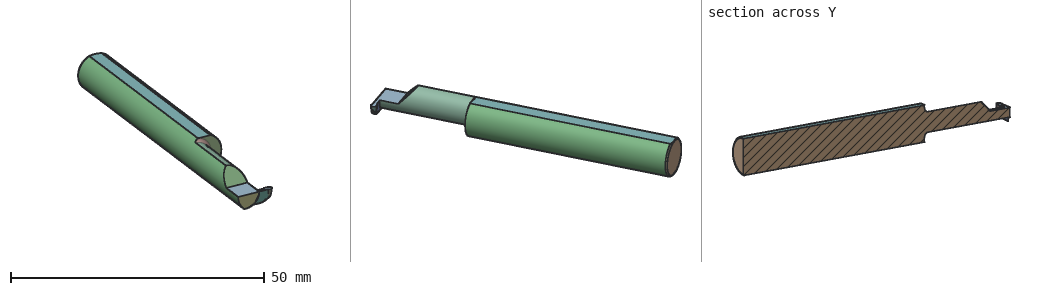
import cadquery as cq
import math

total_length = 63.5
shank_diameter = 7.9375
shank_radius = shank_diameter / 2
overall_height = 7.68
flat_height = overall_height - shank_radius
back_chamfer = 0.3

shank_length = 43.1
neck_radius = 3.13
neck_side_y = 0.88
neck_axis_y = neck_side_y - neck_radius
neck_axis_z = 0.1
step_fillet = 0.7

rake_z = 0.0
rake_start_x = 58.65
ramp_angle = 47.0

tip_radius = 0.57
tip_reach_y = 3.91
tip_overhang = 0.15
head_end_x = total_length - tip_overhang
tip_center_x = total_length - tip_radius
tip_center_y = tip_reach_y - tip_radius
tip_back_x = tip_center_x - tip_radius
tip_side_length = 0.95
stem_back_x = 62.55
tooth_root_y = neck_axis_y
side_relief_angle = 8.0
relief_radius = 2.8
relief_axis_y = tip_reach_y - relief_radius


def make_shank():
    """Full-length round bar with a chamfered back end and a flat on its top."""
    bar = cq.Workplane("YZ").circle(shank_radius).extrude(head_end_x)
    bar = bar.faces("<X").chamfer(back_chamfer)
    flat_cutter = (
        cq.Workplane("XY", origin=(0, 0, flat_height))
        .rect(2 * total_length, shank_diameter)
        .extrude(shank_radius)
    )
    return bar.cut(flat_cutter)


def make_neck_envelope():
    """Turned body about the neck axis: wide over the shank, filleted down to the neck."""
    clear_radius = 3 * shank_radius
    fillet_end_x = shank_length + step_fillet
    fillet_outer_radius = neck_radius + step_fillet
    arc_inset = step_fillet * (1 - math.sqrt(0.5))
    return (
        cq.Workplane("XY", origin=(0, neck_axis_y, neck_axis_z))
        .moveTo(0, 0)
        .lineTo(0, clear_radius)
        .lineTo(shank_length, clear_radius)
        .lineTo(shank_length, fillet_outer_radius)
        .threePointArc(
            (shank_length + arc_inset, neck_radius + arc_inset),
            (fillet_end_x, neck_radius),
        )
        .lineTo(head_end_x, neck_radius)
        .lineTo(head_end_x, 0)
        .close()
        .revolve(360, (0, 0, 0), (1, 0, 0))
    )


def make_rake_cutter():
    """Space above the rake face, closed at the back by a sloping ramp."""
    cut_height = shank_diameter
    ramp_run = cut_height / math.tan(math.radians(ramp_angle))
    return (
        cq.Workplane("XZ")
        .moveTo(rake_start_x, rake_z)
        .lineTo(total_length, rake_z)
        .lineTo(total_length, rake_z + cut_height)
        .lineTo(rake_start_x - ramp_run, rake_z + cut_height)
        .close()
        .extrude(shank_diameter, both=True)
    )


def make_tooth():
    """Round-nosed tooth with relieved sides and a curved underside below the tip."""
    waist_y = tip_center_y - tip_side_length
    tip_diagonal = tip_radius * math.sqrt(0.5)
    front_offset = head_end_x - tip_center_x
    front_y = tip_center_y - math.sqrt(tip_radius**2 - front_offset**2)
    outline = (
        cq.Workplane("XY", origin=(0, 0, rake_z))
        .moveTo(stem_back_x, tooth_root_y)
        .lineTo(head_end_x, tooth_root_y)
        .lineTo(head_end_x, front_y)
        .threePointArc((total_length, tip_center_y), (tip_center_x, tip_reach_y))
        .threePointArc(
            (tip_center_x - tip_diagonal, tip_center_y + tip_diagonal),
            (tip_back_x, tip_center_y),
        )
        .lineTo(tip_back_x, waist_y)
        .lineTo(stem_back_x, waist_y)
        .close()
    )
    tooth = outline.extrude(-relief_radius, taper=side_relief_angle)
    relief = (
        cq.Workplane("YZ", origin=(0, relief_axis_y, rake_z))
        .circle(relief_radius)
        .extrude(total_length)
    )
    root_block = (
        cq.Workplane("XY", origin=(0, tooth_root_y, rake_z))
        .box(
            total_length,
            relief_axis_y - tooth_root_y,
            2 * relief_radius,
            centered=(False, False, True),
        )
    )
    return tooth.intersect(relief.union(root_block))


bar = make_shank().intersect(make_neck_envelope()).cut(make_rake_cutter())
result = bar.union(make_tooth())